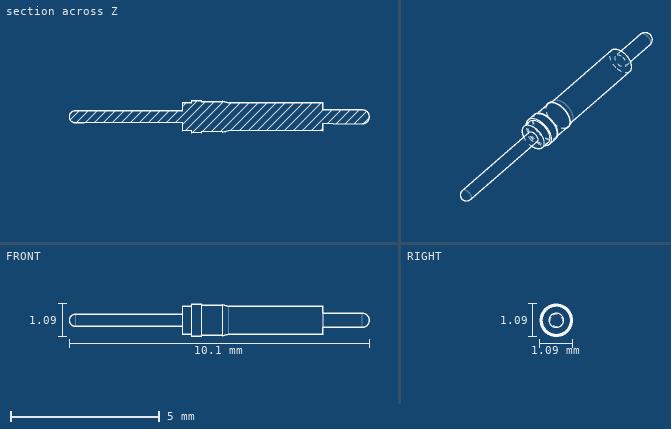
import cadquery as cq

total_length = 10.08
tail_diameter = 0.41
plunger_diameter = 0.48
body_diameter = 0.95
flange_diameter = 1.09
press_fit_diameter = 1.02
barb_diameter = 1.06

body_start = 3.8
flange_start = 4.1
flange_end = 4.45
barb_edge = 5.14
barb_end = 5.35
body_end = 8.52

tail_radius = tail_diameter / 2
plunger_radius = plunger_diameter / 2
body_radius = body_diameter / 2


def cylinder(start, end, diameter):
    """Solid cylinder on the X axis between two stations."""
    return cq.Workplane("YZ", origin=(start, 0, 0)).circle(diameter / 2).extrude(end - start)


def ball(center, radius):
    """Sphere centred on the X axis, for a round pin tip."""
    return cq.Workplane("XY").sphere(radius).translate((center, 0, 0))


tail_center = tail_radius
plunger_center = total_length - plunger_radius
tail = cylinder(tail_center, body_start, tail_diameter).union(ball(tail_center, tail_radius))
plunger = cylinder(body_end, plunger_center, plunger_diameter).union(ball(plunger_center, plunger_radius))

barrel_profile = [
    (body_start, 0),
    (body_start, body_radius),
    (flange_start, body_radius),
    (flange_start, flange_diameter / 2),
    (flange_end, flange_diameter / 2),
    (flange_end, press_fit_diameter / 2),
    (barb_edge, press_fit_diameter / 2),
    (barb_edge, barb_diameter / 2),
    (barb_end, body_radius),
    (body_end, body_radius),
    (body_end, 0),
]
barrel = cq.Workplane("XY").polyline(barrel_profile).close().revolve(360, (0, 0, 0), (1, 0, 0))

result = barrel.union(tail).union(plunger).translate((-total_length / 2, 0, 0))